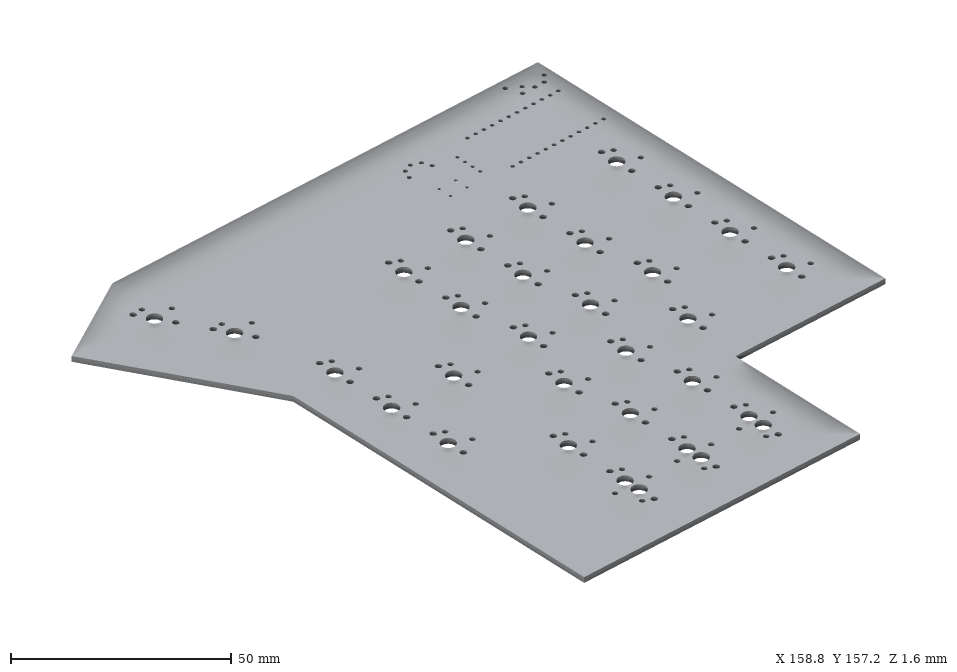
import cadquery as cq
import math


board_width = 158.8
board_depth = 157.2
board_thickness = 1.6
notch_left = 116.8
notch_bottom = 111.1
lower_edge = 26.4
thumb_angle = 30.0

grid = 2.5
stem_diameter = 4.0
mount_diameter = 1.7
pin_diameter = 1.48
mount_offset = 2 * grid
pin_offsets = [(-1.5 * grid, grid), (grid, 2 * grid)]

key_pitch = 19.0
first_column = 41.3
number_row = 143.7
bottom_row = 39.7
extra_key_row = bottom_row + key_pitch
column_count = 6
main_row_count = 3
flipped_angle = 180.0
outer_column_top = 97.3
main_column_tops = [outer_column_top + key_pitch, 116.5, 119.9, 113.3]
flipped_key_shift = key_pitch / 4
first_thumb_key = (16.8, 24.0)
thumb_key_count = 2

controller_row_count = 2
controller_pin_count = 12
controller_left = 11.6
controller_top = 152.9
controller_row_spacing = 6 * grid
controller_pin_diameter = 1.1

display_pin_count = 4
display_left = 15.7
display_level = 118.1
display_pin_diameter = 0.98

reset_center = (24.1, 109.0)
reset_size = (1.5 * grid, 2 * grid)
reset_pin_diameter = 0.81

socket_center = (14.3, 108.1)
socket_radius = 3.5
socket_pin_count = 5
socket_sweep = 180.0
socket_pin_diameter = 1.2

jack_axis = 4.8
jack_contact_offset = 2.0
jack_peg_levels = [154.8, 148.0]
jack_right_contact_levels = [152.9, 150.0, 146.2]
jack_left_contact_level = 144.6
jack_peg_diameter = 1.2
jack_contact_diameter = 1.3


def make_board():
    """Plate with a notched upper right corner and a tilted thumb corner."""
    slope = math.tan(math.radians(thumb_angle))
    tip = lower_edge * slope
    outline = [
        (0, lower_edge),
        (tip, 0),
        (tip + lower_edge / slope, lower_edge),
        (board_width, lower_edge),
        (board_width, notch_bottom),
        (notch_left, notch_bottom),
        (notch_left, board_depth),
        (0, board_depth),
    ]
    return cq.Workplane("XY").polyline(outline).close().extrude(board_thickness)


def drill(board, points, diameter):
    """Cut through holes of one diameter at the given points."""
    cutters = cq.Workplane("XY").pushPoints(points).circle(diameter / 2).extrude(board_thickness)
    return board.cut(cutters)


def place(offsets, center, angle):
    """Rotate offsets about the origin, then move them to a centre."""
    cosine = math.cos(math.radians(angle))
    sine = math.sin(math.radians(angle))
    return [
        (center[0] + x * cosine - y * sine, center[1] + x * sine + y * cosine)
        for x, y in offsets
    ]


def key_positions():
    """Centre and rotation of every key switch."""
    columns = [first_column + i * key_pitch for i in range(column_count)]
    inner_count = len(main_column_tops)
    keys = [(x, number_row, 0) for x in columns[:inner_count]]
    tops = main_column_tops + [outer_column_top] * (column_count - inner_count)
    for x, top in zip(columns, tops):
        keys += [(x, top - row * key_pitch, 0) for row in range(main_row_count)]
    keys += [(x, bottom_row, 0) for x in columns[1:inner_count]]
    keys.append((columns[2], extra_key_row, 0))
    for row in range(main_row_count):
        keys.append((columns[-1] + flipped_key_shift, outer_column_top - row * key_pitch, flipped_angle))
    thumb_row = [(i * key_pitch, 0) for i in range(thumb_key_count)]
    keys += [(x, y, thumb_angle) for x, y in place(thumb_row, first_thumb_key, thumb_angle)]
    return keys


def drill_keys(board):
    stems = []
    mounts = []
    pins = []
    for x, y, angle in key_positions():
        stems.append((x, y))
        mounts += place([(-mount_offset, 0), (mount_offset, 0)], (x, y), angle)
        pins += place(pin_offsets, (x, y), angle)
    board = drill(board, stems, stem_diameter)
    board = drill(board, mounts, mount_diameter)
    return drill(board, pins, pin_diameter)


def drill_controller(board):
    points = [
        (controller_left + column * controller_row_spacing, controller_top - pin * grid)
        for column in range(controller_row_count)
        for pin in range(controller_pin_count)
    ]
    return drill(board, points, controller_pin_diameter)


def drill_display(board):
    points = [(display_left + pin * grid, display_level) for pin in range(display_pin_count)]
    return drill(board, points, display_pin_diameter)


def drill_reset_button(board):
    points = [
        (reset_center[0] + i * reset_size[0] / 2, reset_center[1] + j * reset_size[1] / 2)
        for i in (-1, 1)
        for j in (-1, 1)
    ]
    return drill(board, points, reset_pin_diameter)


def drill_round_socket(board):
    step = socket_sweep / (socket_pin_count - 1)
    points = []
    for pin in range(socket_pin_count):
        points += place([(0, socket_radius)], socket_center, pin * step)
    return drill(board, points, socket_pin_diameter)


def drill_audio_jack(board):
    pegs = [(jack_axis, y) for y in jack_peg_levels]
    contacts = [(jack_axis + jack_contact_offset, y) for y in jack_right_contact_levels]
    contacts.append((jack_axis - jack_contact_offset, jack_left_contact_level))
    board = drill(board, pegs, jack_peg_diameter)
    return drill(board, contacts, jack_contact_diameter)


result = make_board()
result = drill_keys(result)
result = drill_controller(result)
result = drill_display(result)
result = drill_reset_button(result)
result = drill_round_socket(result)
result = drill_audio_jack(result)